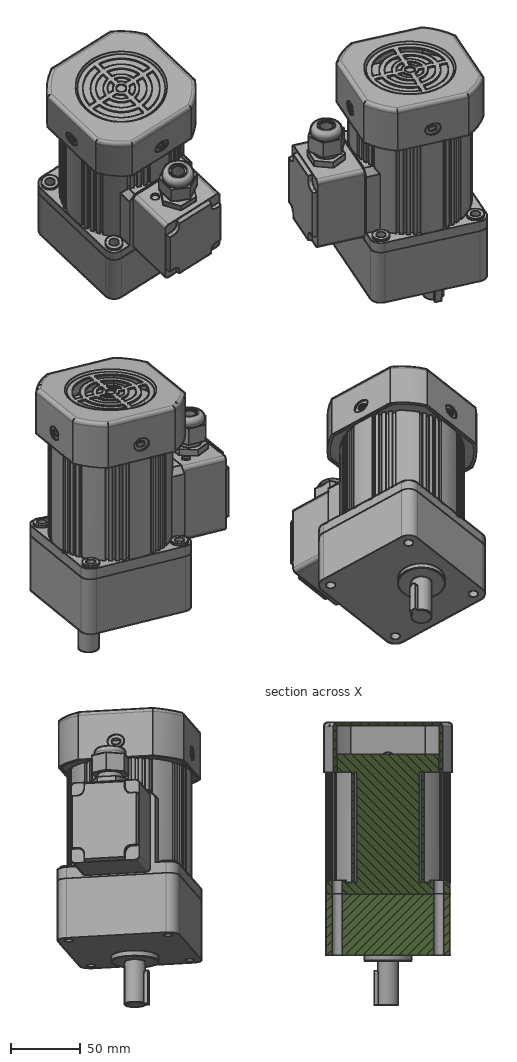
import cadquery as cq
import math


frame_width = 90.2
frame_corner_radius = 8.2
gearbox_height = 44.5
mount_hole_offset = 36.7
mount_hole_radius = 3.5

shaft_x = -18.2
shaft_boss_radius = 17.2
shaft_boss_height = 4.0
shaft_radius = 7.5
shaft_length = 32.0
shaft_edge_chamfer = 0.5
key_width = 5.0
key_length = 25.0
key_end_radius = 2.3
key_reach = 10.0

flange_height = 8.5
flange_top = gearbox_height + flange_height
stator_radius = frame_width / 2
stator_height = 79.7
stator_top = flange_top + stator_height
mount_ring_radius = 6.4
mount_ring_height = 1.6
groove_width = 2.3
groove_depth = 2.0
groove_pitch_angle = 6.5
grooves_per_group = 4
groove_groups = 8
drain_slot_width = 2.0
drain_slot_y = -9.8
drain_slot_drop = 1.0
saddle_width = 58.2
saddle_edge_chamfer = 5.0
saddle_rise = 1.6
end_shield_height = 13.1

cover_width = 93.0
cover_corner_radius = 54.1
cover_height = 36.3
cover_top = stator_top + cover_height
cover_edge_radius = 3.0
cover_wall = 2.0
grille_rim_radius = 33.2
grille_floor_radius = 31.8
grille_depth = 1.5
grille_thickness = 1.0
grille_slots = [(6.2, 10.0), (13.1, 18.5), (22.3, 27.9)]
grille_spoke_width = 4.0
grille_hole_radius = 3.7
screw_drop = 24.0
screw_recess_radii = (6.2, 5.0)
screw_recess_depth = 1.0
screw_hole_radii = (3.3, 2.3)
screw_hole_depth = 1.6

box_start_x = frame_width / 2
box_end_x = 81.5
box_width = 50.8
box_height = 59.9
box_bottom = 46.0
box_top = box_bottom + box_height
box_edge_radius = 3.0
blind_hole_radius = 3.0
blind_hole_depth = 2.0
blind_hole_position = (55.1, -13.3)
lid_thickness = 3.3
lid_inset = 0.5
lid_side_taper = 22
lid_notch_size = 10.0
lid_notch_radius = 5.1

gland_x = 65.0
hex_across_flats = 24.2
gland_base_height = 5.0
gland_neck_radius = 9.0
gland_neck_height = 4.5
gland_nut_height = 13.1
gland_cap_radius = 11.5
gland_cap_height = 6.4
gland_cap_edge_radius = 4.0
gland_mouth_radius = 6.4
gland_mouth_depth = 1.0
gland_bore_radius = 4.7
gland_bore_depth = 12.3


def frame_block(bottom, height):
    """Square block with rounded corners, centred on the motor axis."""
    return (
        cq.Workplane("XY", origin=(0, 0, bottom))
        .rect(frame_width, frame_width)
        .extrude(height)
        .edges("|Z")
        .fillet(frame_corner_radius)
    )


def mount_cylinders(bottom, radius, height):
    """One cylinder on each corner of the mounting pattern."""
    spacing = 2 * mount_hole_offset
    return (
        cq.Workplane("XY", origin=(0, 0, bottom))
        .rect(spacing, spacing, forConstruction=True)
        .vertices()
        .circle(radius)
        .extrude(height)
    )


def rounded_octagon(width, corner_radius, bottom, height):
    """Square prism whose corners are cut by a cylinder around the motor axis."""
    plane = cq.Workplane("XY", origin=(0, 0, bottom))
    square = plane.rect(width, width).extrude(height)
    return square.intersect(plane.circle(corner_radius).extrude(height))


def make_gearbox():
    """Gear housing with its boss, output shaft and key."""
    housing = frame_block(0, gearbox_height)
    housing = housing.cut(mount_cylinders(0, mount_hole_radius, gearbox_height))

    boss = (
        cq.Workplane("XY", origin=(shaft_x, 0, 0))
        .circle(shaft_boss_radius)
        .extrude(-shaft_boss_height)
        .faces("<Z")
        .chamfer(shaft_edge_chamfer)
    )
    shaft_end = -(shaft_boss_height + shaft_length)
    shaft = (
        cq.Workplane("XY", origin=(shaft_x, 0, 0))
        .circle(shaft_radius)
        .extrude(shaft_end)
        .faces("<Z")
        .chamfer(shaft_edge_chamfer)
    )
    key = (
        cq.Workplane("XY", origin=(shaft_x, key_reach / 2, shaft_end))
        .rect(key_width, key_reach)
        .extrude(key_length)
        .faces(">Z")
        .edges("|Y")
        .fillet(key_end_radius)
    )
    return housing.union(boss).union(shaft).union(key)


def make_stator():
    """Round stator with groups of lengthwise cooling grooves."""
    stator = cq.Workplane("XY", origin=(0, 0, flange_top)).circle(stator_radius).extrude(stator_height)
    group_pitch = 360 / groove_groups
    groove = (
        cq.Workplane("XY", origin=(stator_radius, 0, flange_top))
        .rect(2 * groove_depth, groove_width)
        .extrude(stator_height)
    )
    for group in range(groove_groups):
        for index in range(grooves_per_group):
            step = index - (grooves_per_group - 1) / 2
            angle = (group + 0.5) * group_pitch + step * groove_pitch_angle
            stator = stator.cut(groove.rotate((0, 0, 0), (0, 0, 1), angle))
    return stator


def make_saddle():
    """Flat-faced seat that carries the terminal box on the stator."""
    saddle_height = box_top + saddle_rise - flange_top
    saddle = (
        cq.Workplane("XY", origin=(stator_radius / 2, 0, flange_top))
        .rect(stator_radius, saddle_width)
        .extrude(saddle_height)
    )
    return saddle.faces(">Z").edges("|X").chamfer(saddle_edge_chamfer)


def make_motor():
    """Flange, stator, terminal box saddle and the end shield inside the fan cover."""
    flange = frame_block(gearbox_height, flange_height)
    flange = flange.union(mount_cylinders(flange_top, mount_ring_radius, mount_ring_height))
    shield = rounded_octagon(
        cover_width - 2 * cover_wall, cover_corner_radius - cover_wall, stator_top, end_shield_height
    )
    motor = flange.union(make_stator()).union(make_saddle()).union(shield)

    hole_height = flange_height + mount_ring_height
    motor = motor.cut(mount_cylinders(gearbox_height, mount_hole_radius, hole_height))
    drain_slot = (
        cq.Workplane("XY", origin=(-stator_radius, drain_slot_y, flange_top - drain_slot_drop))
        .rect(2 * groove_depth, drain_slot_width)
        .extrude(drain_slot_drop)
    )
    return motor.cut(drain_slot)


def cut_grille(cover):
    """Sink the round grille into the cover top and open its slots."""
    grille_top = cover_top - grille_depth
    recess = (
        cq.Workplane("XY", origin=(0, 0, grille_top))
        .circle(grille_floor_radius)
        .workplane(offset=grille_depth)
        .circle(grille_rim_radius)
        .loft()
    )
    plane = cq.Workplane("XY", origin=(0, 0, grille_top - grille_thickness))
    spokes = plane.rect(cover_width, grille_spoke_width).extrude(grille_thickness)
    spokes = spokes.union(plane.rect(grille_spoke_width, cover_width).extrude(grille_thickness))
    cover = cover.cut(recess)
    for inner_radius, outer_radius in grille_slots:
        ring = plane.circle(outer_radius).circle(inner_radius).extrude(grille_thickness)
        cover = cover.cut(ring.cut(spokes))
    return cover.cut(plane.circle(grille_hole_radius).extrude(grille_thickness))


def cut_screw_recesses(cover):
    """Oval recess with a deeper oval hole in the middle of each side of the cover."""
    plane = cq.Workplane("XZ", origin=(0, -cover_width / 2, cover_top - screw_drop))
    recess = plane.ellipse(*screw_recess_radii).extrude(-screw_recess_depth)
    cutter = recess.union(plane.ellipse(*screw_hole_radii).extrude(-screw_hole_depth))
    for side in range(4):
        cover = cover.cut(cutter.rotate((0, 0, 0), (0, 0, 1), 90 * side))
    return cover


def make_fan_cover():
    """Hollow cover, open below, with a slotted grille on top."""
    cover = rounded_octagon(cover_width, cover_corner_radius, stator_top, cover_height)
    cover = cover.faces(">Z").edges().fillet(cover_edge_radius)
    cavity_height = cover_height - grille_depth - grille_thickness
    cavity = rounded_octagon(
        cover_width - 2 * cover_wall, cover_corner_radius - cover_wall, stator_top, cavity_height
    )
    return cut_screw_recesses(cut_grille(cover.cut(cavity)))


def make_terminal_box():
    """Box on the +X side of the motor, with a shallow blind hole beside the gland."""
    box = (
        cq.Workplane("YZ", origin=(box_start_x, 0, box_bottom + box_height / 2))
        .rect(box_width, box_height)
        .extrude(box_end_x - box_start_x)
        .edges("|X")
        .fillet(box_edge_radius)
    )
    blind_hole = (
        cq.Workplane("XY", origin=(*blind_hole_position, box_top))
        .circle(blind_hole_radius)
        .extrude(-blind_hole_depth)
    )
    return box.cut(blind_hole)


def make_lid():
    """Lid of the terminal box with tapered sides and a notch at each corner for its screws."""
    lid_width = box_width - 2 * lid_inset
    lid_height = box_height - 2 * lid_inset
    plane = cq.Workplane("YZ", origin=(box_end_x, 0, box_bottom + box_height / 2))
    lid = plane.rect(lid_width, lid_height).extrude(lid_thickness, taper=lid_side_taper)
    notches = (
        plane.rect(lid_width, lid_height, forConstruction=True)
        .vertices()
        .rect(2 * lid_notch_size, 2 * lid_notch_size)
        .extrude(lid_thickness)
        .edges("|X")
        .fillet(lid_notch_radius)
    )
    return lid.cut(notches)


def make_cable_gland():
    """Hexagonal base, neck, hexagonal nut and domed cap with a round mouth."""
    hex_diameter = hex_across_flats / math.cos(math.radians(30))
    nut_bottom = gland_base_height + gland_neck_height
    cap_bottom = nut_bottom + gland_nut_height
    gland_height = cap_bottom + gland_cap_height

    def gland_plane(height):
        return cq.Workplane("XY", origin=(gland_x, 0, box_top + height))

    base = gland_plane(0).polygon(6, hex_diameter).extrude(gland_base_height)
    base = base.rotate((gland_x, 0, 0), (gland_x, 0, 1), 90)
    neck = gland_plane(gland_base_height).circle(gland_neck_radius).extrude(gland_neck_height)
    nut = gland_plane(nut_bottom).polygon(6, hex_diameter).extrude(gland_nut_height)
    cap = gland_plane(cap_bottom).circle(gland_cap_radius).extrude(gland_cap_height)
    cap = cap.faces(">Z").edges().fillet(gland_cap_edge_radius)
    mouth = gland_plane(gland_height).circle(gland_mouth_radius).extrude(-gland_mouth_depth)
    bore = gland_plane(gland_height).circle(gland_bore_radius).extrude(-gland_bore_depth)
    return base.union(neck).union(nut).union(cap).cut(mouth).cut(bore)


gearbox = make_gearbox()
motor = make_motor()
fan_cover = make_fan_cover()
terminal_box = make_terminal_box()
lid = make_lid()
cable_gland = make_cable_gland()

bodies = [gearbox, motor, fan_cover, terminal_box, lid, cable_gland]
result = cq.Compound.makeCompound([body.solids().val() for body in bodies])